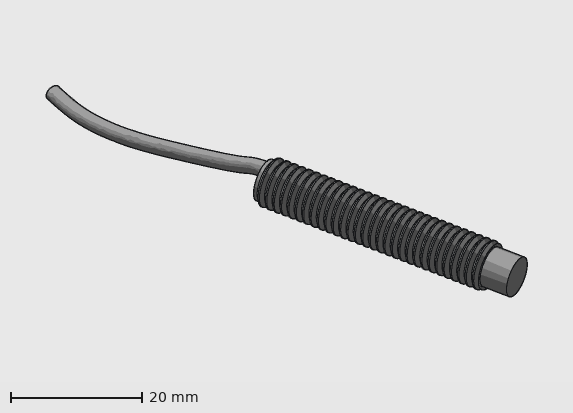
import cadquery as cq
import math

total_length = 82.3
barrel_start = 38.2
nose_length = 4.6
crest_diameter = 8.0
root_diameter = 6.7
end_diameter = 6.8
nose_diameter = 6.5

ridge_count = 30
first_to_last_crest = 37.5
ridge_pitch = first_to_last_crest / (ridge_count - 1)
first_crest_offset = 1.2
crest_width = 0.25
end_collar_diameter = 7.6

cable_diameter = 2.55
cable_end_slope = math.radians(-24)
cable_end_y = 1.2
cable_exit_y = 2.1
cable_bend_points = [(6.75, -1.15), (13.9, -2.0), (24.7, -0.65), (34.0, 1.5)]

barrel_end = total_length - nose_length


def make_barrel():
    """Revolve the ridged barrel and its plain nose about the X axis."""
    crest_radius = crest_diameter / 2
    root_radius = root_diameter / 2
    nose_radius = nose_diameter / 2
    profile = [
        (barrel_start, 0),
        (barrel_start, end_diameter / 2),
        (barrel_start + first_crest_offset - ridge_pitch / 2, root_radius),
    ]
    for ridge in range(ridge_count):
        crest_x = barrel_start + first_crest_offset + ridge * ridge_pitch
        profile += [
            (crest_x - crest_width / 2, crest_radius),
            (crest_x + crest_width / 2, crest_radius),
            (crest_x + ridge_pitch / 2, root_radius),
        ]
    profile += [
        (barrel_end, end_collar_diameter / 2),
        (barrel_end, nose_radius),
        (total_length, nose_radius),
        (total_length, 0),
    ]
    return cq.Workplane("XY").polyline(profile).close().revolve(360, (0, 0, 0), (1, 0, 0))


def make_cable():
    """Sweep the round cable along its S-shaped path in the XY plane."""
    direction = cq.Vector(math.cos(cable_end_slope), math.sin(cable_end_slope), 0)
    free_end_x = cable_diameter / 2 * abs(direction.y)
    free_end = (free_end_x, cable_end_y)
    cable_exit = (barrel_start, cable_exit_y)
    path = cq.Workplane("XY").spline(
        [free_end, *cable_bend_points, cable_exit],
        tangents=[(direction.x, direction.y), (1, 0)],
    )
    end_plane = cq.Plane(origin=(*free_end, 0), xDir=(0, 0, 1), normal=direction)
    return cq.Workplane(end_plane).circle(cable_diameter / 2).sweep(path)


result = make_barrel().union(make_cable())